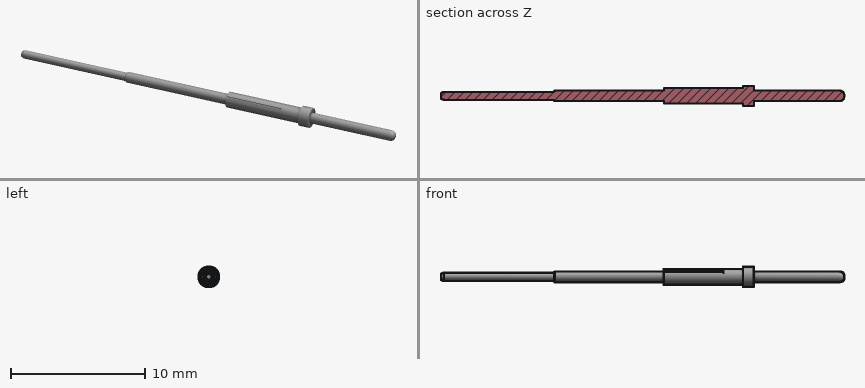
import cadquery as cq

LENGTH = 30.1
THIN_END = 8.43
SLEEVE_START = 16.62
SLOT_END = 21.07
COLLAR_START = 22.5
COLLAR_END = 23.35

THIN_DIAMETER = 0.63
PIN_DIAMETER = 0.8
SLEEVE_DIAMETER = 1.2
COLLAR_DIAMETER = 1.55

THIN_CHAMFER_LENGTH = 0.2
THIN_CHAMFER_DEPTH = 0.1
STEP_CHAMFER = 0.05
RIM_CHAMFER = 0.03
TIP_RADIUS = 0.35

SLOT_WIDTH = 0.2
SLOT_ANGLE = 45.0


def round_bar(start, end, diameter):
    """Cylinder about the X axis between two stations."""
    return cq.Workplane("YZ", origin=(start, 0, 0)).circle(diameter / 2).extrude(end - start)


def thin_pin():
    """Thin lead with a long, shallow chamfer on its free end."""
    end_radius = THIN_DIAMETER / 2 - THIN_CHAMFER_DEPTH
    return (
        cq.Workplane("XY")
        .moveTo(0, 0)
        .lineTo(0, end_radius)
        .lineTo(THIN_CHAMFER_LENGTH, THIN_DIAMETER / 2)
        .lineTo(THIN_END, THIN_DIAMETER / 2)
        .lineTo(THIN_END, 0)
        .close()
        .revolve(360, (0, 0, 0), (1, 0, 0))
    )


def main_pin():
    """Main pin with a chamfered shoulder and a rounded contact tip."""
    pin = round_bar(THIN_END, LENGTH, PIN_DIAMETER)
    pin = pin.faces("<X").edges().chamfer(STEP_CHAMFER)
    return pin.faces(">X").edges().fillet(TIP_RADIUS)


def sleeve_slot():
    """Cutter reaching from outside the sleeve down to the pin surface."""
    length = SLOT_END - SLEEVE_START
    middle = (SLEEVE_START + SLOT_END) / 2
    bar = cq.Workplane("XY").box(length, SLOT_WIDTH, SLEEVE_DIAMETER, centered=(True, True, False))
    bar = bar.translate((middle, 0, 0)).rotate((0, 0, 0), (1, 0, 0), SLOT_ANGLE)
    return bar.cut(round_bar(SLEEVE_START, SLOT_END, PIN_DIAMETER))


def slotted_sleeve():
    """Sleeve with a chamfered front rim and one open-ended slot."""
    sleeve = round_bar(SLEEVE_START, COLLAR_START, SLEEVE_DIAMETER)
    sleeve = sleeve.faces("<X").edges().chamfer(RIM_CHAMFER)
    return sleeve.cut(sleeve_slot())


def collar():
    """Stop ring with both rims chamfered."""
    ring = round_bar(COLLAR_START, COLLAR_END, COLLAR_DIAMETER)
    return ring.edges("%CIRCLE").chamfer(RIM_CHAMFER)


result = thin_pin().union(main_pin()).union(slotted_sleeve()).union(collar())